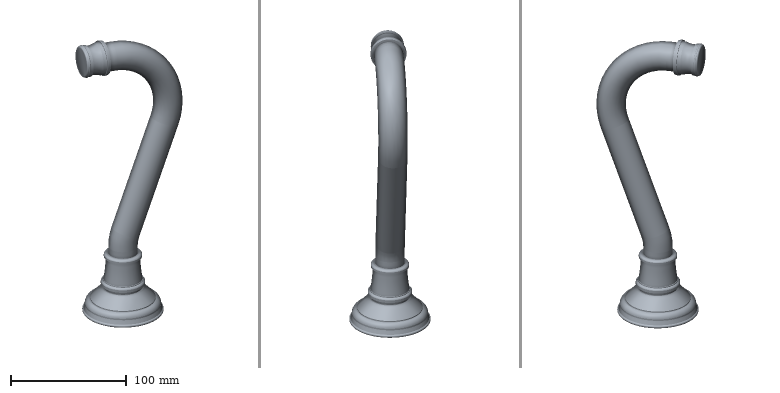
import math

import cadquery as cq

TUBE_RADIUS = 12.7
LEAN_ANGLE = math.radians(20)
LOWER_BEND_START_Z = 62.0
UPPER_BEND_RADIUS = 52.75
UPPER_BEND_CENTRE_Y = -10.7
OUTLET_AXIS_Z = 246.6
TUBE_START_Z = 40.0

FOOT_RADIUS = 35.19
FOOT_BEAD_RADIUS = 1.4
FOOT_SLOPE_BOTTOM_RADIUS = 34.0
STEP_INNER_RADIUS = 32.5
STEP_OUTER_RADIUS = 33.0
STEP_BOTTOM = 6.6
STEP_TOP = 8.0
SHOULDER_RADIUS = 29.5
SHOULDER_HEIGHT = 12.3
SHOULDER_BULGE = 0.5
CONE_BOTTOM_RADIUS = 28.2
CONE_BOTTOM = 13.2
CONE_TOP_RADIUS = 18.2
CONE_TOP = 23.1
CONE_BULGE = 0.35
NECK_RADIUS = 16.8
RING_RADIUS = 19.2
RING_BOTTOM = 26.1
RING_WALL_TOP = 28.5
RING_TOP = 30.2
RING_LIP_RADIUS = 17.5
RING_LIP_TOP = 31.0
BAND_ROUND_WIDTH = 2.3
BODY_BOTTOM_RADIUS = 16.8
BODY_TOP_RADIUS = 14.8
BODY_TOP = 51.6
BODY_HOLLOW = 0.3
COLLAR_STEP_RADIUS = 15.6
COLLAR_BOTTOM = 52.3
COLLAR_RADIUS = 16.6
COLLAR_WALL_TOP = 54.2
COLLAR_TOP = 55.8

FLANGE_RADIUS = 15.59
FLANGE_BACK_RADIUS = 15.2
FLANGE_BACK_Y = -17.6
FLANGE_CREST_Y = -20.1
FLANGE_FRONT_Y = -21.0
NOZZLE_SHOULDER_RADIUS = 14.7
THROAT_START_RADIUS = 14.3
THROAT_START_Y = -24.1
THROAT_RADIUS = 13.2
THROAT_MIDDLE_Y = -28.4
BEAD_START_Y = -33.4
BEAD_RADIUS = 14.0
CREST_START_Y = -35.9
CREST_END_Y = -37.5
CREST_HEIGHT = 0.35
OUTLET_END_Y = -39.1
OUTLET_FACE_RADIUS = 12.6


def level_arc_radius(run, rise):
    """Radius of an arc that covers the given run and rise and ends level."""
    return (run**2 + rise**2) / (2 * rise)


def add_band(profile, radius, bottom, wall_top, top):
    """Continue a (radius, height) profile with a band whose upper edge is rounded over."""
    round_radius = level_arc_radius(BAND_ROUND_WIDTH, top - wall_top)
    return (
        profile.lineTo(radius, bottom)
        .lineTo(radius, wall_top)
        .radiusArc((radius - BAND_ROUND_WIDTH, top), -round_radius)
    )


def make_base():
    """Turned base about the Z axis; profile points are (radius, height)."""
    foot_top = 2 * FOOT_BEAD_RADIUS
    foot_flat_radius = FOOT_RADIUS - FOOT_BEAD_RADIUS
    shoulder_middle = (
        (STEP_OUTER_RADIUS + SHOULDER_RADIUS) / 2 + SHOULDER_BULGE,
        (STEP_TOP + SHOULDER_HEIGHT) / 2 + SHOULDER_BULGE,
    )
    cone_middle = (
        (CONE_BOTTOM_RADIUS + CONE_TOP_RADIUS) / 2 + CONE_BULGE,
        (CONE_BOTTOM + CONE_TOP) / 2 + CONE_BULGE,
    )
    body_middle = (
        (BODY_BOTTOM_RADIUS + BODY_TOP_RADIUS) / 2 - BODY_HOLLOW,
        (RING_LIP_TOP + BODY_TOP) / 2,
    )
    profile = (
        cq.Workplane("XZ")
        .lineTo(foot_flat_radius, 0)
        .threePointArc((FOOT_RADIUS, FOOT_BEAD_RADIUS), (foot_flat_radius, foot_top))
        .lineTo(FOOT_SLOPE_BOTTOM_RADIUS, foot_top)
        .lineTo(STEP_INNER_RADIUS, STEP_BOTTOM)
        .lineTo(STEP_OUTER_RADIUS, STEP_BOTTOM)
        .lineTo(STEP_OUTER_RADIUS, STEP_TOP)
        .threePointArc(shoulder_middle, (SHOULDER_RADIUS, SHOULDER_HEIGHT))
        .lineTo(CONE_BOTTOM_RADIUS, SHOULDER_HEIGHT)
        .lineTo(CONE_BOTTOM_RADIUS, CONE_BOTTOM)
        .threePointArc(cone_middle, (CONE_TOP_RADIUS, CONE_TOP))
        .lineTo(NECK_RADIUS, CONE_TOP)
        .lineTo(NECK_RADIUS, RING_BOTTOM)
    )
    profile = add_band(profile, RING_RADIUS, RING_BOTTOM, RING_WALL_TOP, RING_TOP)
    profile = (
        profile.lineTo(RING_LIP_RADIUS, RING_TOP)
        .lineTo(RING_LIP_RADIUS, RING_LIP_TOP)
        .lineTo(BODY_BOTTOM_RADIUS, RING_LIP_TOP)
        .threePointArc(body_middle, (BODY_TOP_RADIUS, BODY_TOP))
        .lineTo(COLLAR_STEP_RADIUS, BODY_TOP)
        .lineTo(COLLAR_STEP_RADIUS, COLLAR_BOTTOM)
    )
    profile = add_band(profile, COLLAR_RADIUS, COLLAR_BOTTOM, COLLAR_WALL_TOP, COLLAR_TOP)
    profile = profile.lineTo(0, COLLAR_TOP).close()
    return profile.revolve(360, (0, 0, 0), (0, 1, 0))


def make_tube():
    """Round tube swept along tangent arcs and lines in the YZ plane."""
    sine = math.sin(LEAN_ANGLE)
    cosine = math.cos(LEAN_ANGLE)
    upper_centre_z = OUTLET_AXIS_Z - UPPER_BEND_RADIUS
    upper_start = (
        UPPER_BEND_CENTRE_Y + UPPER_BEND_RADIUS * cosine,
        upper_centre_z - UPPER_BEND_RADIUS * sine,
    )
    upper_middle_angle = (math.pi / 2 - LEAN_ANGLE) / 2
    upper_middle = (
        UPPER_BEND_CENTRE_Y + UPPER_BEND_RADIUS * math.cos(upper_middle_angle),
        upper_centre_z + UPPER_BEND_RADIUS * math.sin(upper_middle_angle),
    )
    corner_z = upper_start[1] - upper_start[0] / math.tan(LEAN_ANGLE)
    tangent_length = corner_z - LOWER_BEND_START_Z
    lower_bend_radius = tangent_length / math.tan(LEAN_ANGLE / 2)
    lower_middle = (
        lower_bend_radius * (1 - math.cos(LEAN_ANGLE / 2)),
        LOWER_BEND_START_Z + lower_bend_radius * math.sin(LEAN_ANGLE / 2),
    )
    lower_end = (tangent_length * sine, corner_z + tangent_length * cosine)
    path = (
        cq.Workplane("YZ")
        .moveTo(0, TUBE_START_Z)
        .lineTo(0, LOWER_BEND_START_Z)
        .threePointArc(lower_middle, lower_end)
        .lineTo(*upper_start)
        .threePointArc(upper_middle, (UPPER_BEND_CENTRE_Y, OUTLET_AXIS_Z))
        .lineTo(THROAT_START_Y, OUTLET_AXIS_Z)
    )
    section = cq.Workplane("XY").workplane(offset=TUBE_START_Z).circle(TUBE_RADIUS)
    return section.sweep(path)


def make_nozzle():
    """Turned nozzle about the outlet axis; profile points are (Y, radius)."""
    crown_length = FLANGE_BACK_Y - FLANGE_CREST_Y
    crown_rise = FLANGE_RADIUS - FLANGE_BACK_RADIUS
    flange_crown_radius = level_arc_radius(crown_length, crown_rise)
    nose_depth = CREST_END_Y - OUTLET_END_Y
    nose_height = BEAD_RADIUS - OUTLET_FACE_RADIUS
    nose_middle = (
        CREST_END_Y - nose_depth * math.sin(math.pi / 4),
        OUTLET_FACE_RADIUS + nose_height * math.cos(math.pi / 4),
    )
    crest_middle = ((CREST_START_Y + CREST_END_Y) / 2, BEAD_RADIUS + CREST_HEIGHT)
    profile = (
        cq.Workplane("YZ", origin=(0, 0, OUTLET_AXIS_Z))
        .moveTo(FLANGE_BACK_Y, 0)
        .lineTo(FLANGE_BACK_Y, FLANGE_BACK_RADIUS)
        .radiusArc((FLANGE_CREST_Y, FLANGE_RADIUS), -flange_crown_radius)
        .lineTo(FLANGE_FRONT_Y, FLANGE_RADIUS)
        .lineTo(FLANGE_FRONT_Y, NOZZLE_SHOULDER_RADIUS)
        .lineTo(THROAT_START_Y, THROAT_START_RADIUS)
        .threePointArc((THROAT_MIDDLE_Y, THROAT_RADIUS), (BEAD_START_Y, THROAT_RADIUS))
        .lineTo(BEAD_START_Y, BEAD_RADIUS)
        .lineTo(CREST_START_Y, BEAD_RADIUS)
        .threePointArc(crest_middle, (CREST_END_Y, BEAD_RADIUS))
        .threePointArc(nose_middle, (OUTLET_END_Y, OUTLET_FACE_RADIUS))
        .lineTo(OUTLET_END_Y, 0)
        .close()
    )
    return profile.revolve(360, (0, 0, 0), (1, 0, 0))


result = make_base().union(make_tube()).union(make_nozzle())